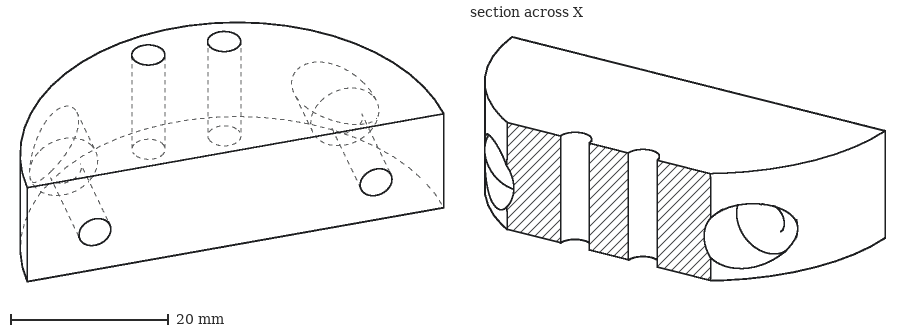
import cadquery as cq
import math

disc_radius = 27.5
flat_x = -0.75
thickness = 15.0

pin_hole_diameter = 4.2
pin_hole_x = -23.0
pin_hole_spacing = 10.0

screw_hole_diameter = 4.2
counterbore_diameter = 9.0
floor_edge_radius = 1.0
screw_spacing = 37.1
screw_z = 6.0
counterbore_floor_x = -15.0


def make_body():
    half_chord = math.sqrt(disc_radius**2 - flat_x**2)
    return (
        cq.Workplane("XY")
        .moveTo(flat_x, -half_chord)
        .threePointArc((-disc_radius, 0), (flat_x, half_chord))
        .close()
        .extrude(thickness)
    )


def pin_hole(y):
    return cq.Workplane("XY").center(pin_hole_x, y).circle(pin_hole_diameter / 2).extrude(thickness)


def screw_hole(y):
    """Stepped hole as a revolved half profile, open at the rim and at the flat."""
    bore_radius = screw_hole_diameter / 2
    counterbore_radius = counterbore_diameter / 2
    round_end_x = counterbore_floor_x + floor_edge_radius
    round_start_radius = bore_radius + floor_edge_radius
    profile = (
        cq.Workplane("XY")
        .moveTo(-disc_radius, 0)
        .lineTo(-disc_radius, counterbore_radius)
        .lineTo(counterbore_floor_x, counterbore_radius)
        .lineTo(counterbore_floor_x, round_start_radius)
        .radiusArc((round_end_x, bore_radius), -floor_edge_radius)
        .lineTo(flat_x, bore_radius)
        .lineTo(flat_x, 0)
        .close()
    )
    return profile.revolve(360, (0, 0, 0), (1, 0, 0)).translate((0, y, screw_z))


result = make_body()
for side in (-1, 1):
    result = result.cut(pin_hole(side * pin_hole_spacing / 2))
    result = result.cut(screw_hole(side * screw_spacing / 2))